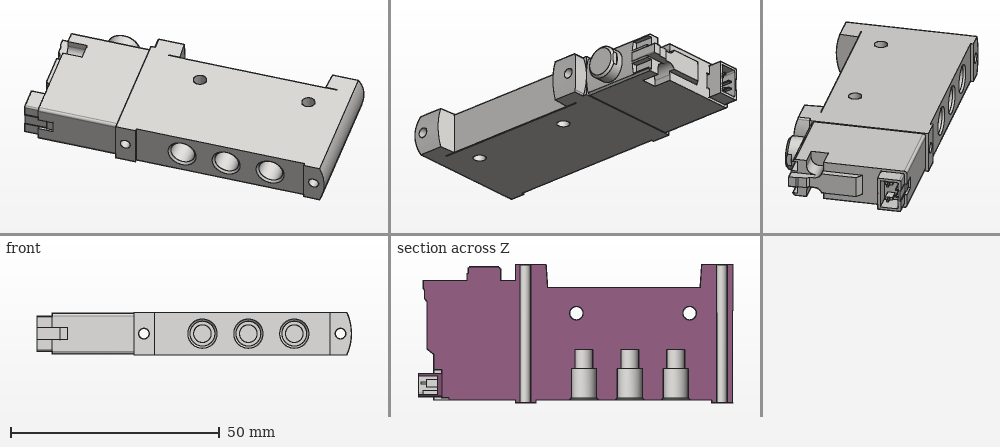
import cadquery as cq

LENGTH = 75.3
WIDTH = 33.1
THICKNESS = 10.25
HALF_THICKNESS = THICKNESS / 2

PLATE_WIDTH = 5.0
PLATE1_X = 23.2
PLATE1_END = PLATE1_X + PLATE_WIDTH
PLATE2_X = 70.2
BULGE = 1.1
BEVEL_LENGTH = 0.3
BEVEL_DEPTH = 0.45
CROWN = 0.9
SIDE_Y = 0.7
BLOCK_TOP_Y = 27.6
BLOCK_CHAMFER = 0.15
TAB_ROOT = 2.8
TAB_TIP = 2.4

MOUNT_DIA = 3.2
MOUNT_XS = (37.8, 64.9)
MOUNT_Y = 21.45
TIE_DIA = 2.5
TIE_XS = (25.6, 72.7)
PORT_XS = (39.6, 50.6, 61.6)
PORT_DIA = 5.95
PORT_DEPTH = 7.5
PORT_CHAMFER = 0.5
PORT_BORE_DIA = 4.2
PORT_BORE_DEPTH = 12.05

CAP_X = 3.6
COVER_X = 8.4
PILOT_HALF = 4.9
PILOT_EDGE_Y = 28.6
PILOT_TOP_Y = 29.3
PILOT_FILLET = 0.7
PILOT_CHAMFER = 0.45
NOTCH_DIA = 4.2
NOTCH_Y = 23.3
PRONG_Y = 27.6
PRONG_Z_LOW = 1.7
PRONG_Z_HIGH = 4.2

LEVER_X = 2.0
NECK_X = 1.4
TIP_X = 1.1
LEVER_TOP_Y = PILOT_TOP_Y
TIP_END_Y = 27.4
NECK_START_Y = 26.95
NECK_END_Y = 24.9
BLADE_START_Y = 24.25
LEVER_CHAMFER_Y = 12.9
LEVER_BOTTOM_Y = 11.6
LEVER_HALF = 2.55
NECK_HALF = 1.3
TIP_CORNER = 0.2
NOTCH_Z = NECK_HALF + NOTCH_DIA / 2

BUTTON_DIA = 8.1
BUTTON_X = 15.7
BUTTON_TOP_Y = 32.6
BUTTON_CHAMFER = 0.6
BUTTON_NOTCH_WIDTH = 3.9
BUTTON_NOTCH_Y = 31.0
BUTTON_NOTCH_DEPTH = 0.3

PLUG_END_X = 5.6
PLUG_Y_LOW = 1.35
PLUG_Y_HIGH = 7.1
PLUG_HALF = 4.2
PLUG_WALL = 0.7
PLUG_CORNER = 0.4
CAVITY_END_X = 4.5
GROOVE_HALF = 1.4
GROOVE_Y = 1.6
WINDOW_END_X = 7.3
WINDOW_Y = 1.2
KEYWAY_Y = 7.9
KEYWAY_HALF = 1.95
PIN_Y = 4.75
PIN_Z = 2.0
PIN_WIDTH = 1.8
PIN_HEIGHT = 0.7
PIN_TIP_SIZE = 0.45
PIN_TIP_X = 0.6
PIN_SHOULDER_X = 1.95
RIB_Z = 0.9
RIB_HEIGHT = 0.9
RIB_THICKNESS = 0.3
RIB_X = 1.1


def box(x0, x1, y0, y1, z0, z1):
    """Box given by its limits on each axis."""
    return cq.Workplane("XY").box(x1 - x0, y1 - y0, z1 - z0, centered=False).translate((x0, y0, z0))


def centred_box(x0, x1, y0, y1, half_z):
    """Box symmetric about z = 0."""
    return box(x0, x1, y0, y1, -half_z, half_z)


def along_y(x, z, diameter, y0, y1):
    """Cylinder with its axis along Y."""
    return cq.Workplane("XZ", origin=(x, y0, z)).circle(diameter / 2).extrude(y0 - y1)


def bulged_bar(flat_x, flat_end_x, crown_x, half_z):
    """Bar along Y with one straight end and one arc-shaped end."""
    return (
        cq.Workplane("XZ")
        .moveTo(flat_x, -half_z)
        .lineTo(flat_end_x, -half_z)
        .threePointArc((crown_x, 0), (flat_end_x, half_z))
        .lineTo(flat_x, half_z)
        .close()
        .extrude(-WIDTH)
    )


def tab(root_x, direction):
    """Tapered tab at the +Y end of a plate, pointing along +X or -X."""
    return (
        cq.Workplane("XY", origin=(0, 0, -HALF_THICKNESS))
        .moveTo(root_x, BLOCK_TOP_Y)
        .lineTo(root_x + direction * TAB_ROOT, BLOCK_TOP_Y)
        .lineTo(root_x + direction * TAB_TIP, WIDTH)
        .lineTo(root_x, WIDTH)
        .close()
        .extrude(THICKNESS)
    )


def crowned_section(x0, x1, y0, edge_y, top_y, half_z):
    """Bar along X with a flat -Y side and an arc-shaped +Y side."""
    return (
        cq.Workplane("YZ", origin=(x0, 0, 0))
        .moveTo(y0, -half_z)
        .lineTo(edge_y, -half_z)
        .threePointArc((top_y, 0), (edge_y, half_z))
        .lineTo(y0, half_z)
        .close()
        .extrude(x1 - x0)
    )


def plate_one():
    """Plate and tab on the pilot side; its end is rounded where it rises above the pilot."""
    lower = centred_box(PLATE1_X, PLATE1_END, 0, LEVER_TOP_Y, HALF_THICKNESS)
    shoulder_x = PLATE1_X + BULGE
    bevel_x = shoulder_x - BEVEL_LENGTH
    bevel_z = HALF_THICKNESS - BEVEL_DEPTH
    bevelled = (
        cq.Workplane("XZ")
        .moveTo(PLATE1_END, -HALF_THICKNESS)
        .lineTo(shoulder_x, -HALF_THICKNESS)
        .lineTo(bevel_x, -bevel_z)
        .lineTo(bevel_x, bevel_z)
        .lineTo(shoulder_x, HALF_THICKNESS)
        .lineTo(PLATE1_END, HALF_THICKNESS)
        .close()
        .extrude(-WIDTH)
    )
    bulge = bulged_bar(PLATE1_END, bevel_x, PLATE1_X, bevel_z)
    return lower.union(bevelled).union(bulge).union(tab(PLATE1_END, 1))


def plate_two():
    """Plate and tab closing the far end, with a rounded outer end."""
    return bulged_bar(PLATE2_X, LENGTH - BULGE, LENGTH, HALF_THICKNESS).union(tab(PLATE2_X, -1))


def crowned_plates():
    """Both plates trimmed to the rounded +Y edge."""
    envelope = crowned_section(0, LENGTH, 0, WIDTH - CROWN, WIDTH, HALF_THICKNESS)
    return plate_one().union(plate_two()).intersect(envelope)


def port(x):
    """Chamfered port with a narrower bore at its bottom."""
    rim = PORT_DIA / 2 + PORT_CHAMFER
    half_section = (
        cq.Workplane("XY")
        .moveTo(0, 0)
        .lineTo(rim, 0)
        .lineTo(PORT_DIA / 2, PORT_CHAMFER)
        .lineTo(PORT_DIA / 2, PORT_DEPTH)
        .lineTo(PORT_BORE_DIA / 2, PORT_DEPTH)
        .lineTo(PORT_BORE_DIA / 2, PORT_BORE_DEPTH)
        .lineTo(0, PORT_BORE_DEPTH)
        .close()
    )
    return half_section.revolve(360, (0, 0, 0), (0, 1, 0)).translate((x, SIDE_Y, 0))


def valve_block():
    """Block and plates with the mounting holes, tie holes and ports."""
    block = centred_box(PLATE1_END, PLATE2_X, SIDE_Y, BLOCK_TOP_Y, HALF_THICKNESS)
    block = block.edges("|X and >Y").chamfer(BLOCK_CHAMFER).union(crowned_plates())
    for x in MOUNT_XS:
        start = cq.Workplane("XY", origin=(x, MOUNT_Y, -HALF_THICKNESS))
        block = block.cut(start.circle(MOUNT_DIA / 2).extrude(THICKNESS))
    for x in TIE_XS:
        block = block.cut(along_y(x, 0, TIE_DIA, 0, WIDTH))
    for x in PORT_XS:
        block = block.cut(port(x))
    return block


def pilot_shell():
    """Cover and end cap: one bar with a crowned +Y side and softened long edges."""
    bar = crowned_section(CAP_X, PLATE1_X, SIDE_Y, PILOT_EDGE_Y, PILOT_TOP_Y, PILOT_HALF)
    bar = bar.edges("|X and <Y").fillet(PILOT_FILLET)
    return bar.edges("|X").edges(">Y").chamfer(PILOT_CHAMFER)


def lever():
    """Stepped lever standing on the end cap, narrow at its +Y end."""
    profile = (
        cq.Workplane("XY", origin=(0, 0, -LEVER_HALF))
        .moveTo(COVER_X, LEVER_BOTTOM_Y)
        .lineTo(CAP_X, LEVER_BOTTOM_Y)
        .lineTo(LEVER_X, LEVER_CHAMFER_Y)
        .lineTo(LEVER_X, BLADE_START_Y)
        .lineTo(NECK_X, NECK_END_Y)
        .lineTo(NECK_X, NECK_START_Y)
        .lineTo(TIP_X, TIP_END_Y)
        .lineTo(TIP_X, LEVER_TOP_Y)
        .lineTo(COVER_X, LEVER_TOP_Y)
        .close()
        .extrude(2 * LEVER_HALF)
    )
    blade = centred_box(0, COVER_X, LEVER_BOTTOM_Y, NOTCH_Y, LEVER_HALF)
    neck = centred_box(0, COVER_X, NOTCH_Y, LEVER_TOP_Y, NECK_HALF).edges("|X and >Y").fillet(TIP_CORNER)
    return profile.intersect(blade.union(neck))


def notches():
    """Round-bottomed notches through the cap, one on each side of the lever neck."""
    radius = NOTCH_DIA / 2
    cutter = cq.Workplane("YZ").center(NOTCH_Y, NOTCH_Z).circle(radius).extrude(COVER_X)
    cutter = cutter.union(box(0, COVER_X, NOTCH_Y - radius, NOTCH_Y + radius, NOTCH_Z, HALF_THICKNESS))
    return cutter.union(cutter.mirror("XY"))


def prong_undercuts():
    """Openings in the +Y side of the cap between lever and cap edges."""
    cutter = box(CAP_X, COVER_X, PRONG_Y, LEVER_TOP_Y, PRONG_Z_LOW, PRONG_Z_HIGH)
    return cutter.union(cutter.mirror("XY"))


def button():
    """Round override button with a shallow pointer notch in its -X side."""
    knob = along_y(BUTTON_X, 0, BUTTON_DIA, BLOCK_TOP_Y, BUTTON_TOP_Y).faces(">Y").chamfer(BUTTON_CHAMFER)
    rim_x = BUTTON_X - BUTTON_DIA / 2
    notch_end_x = rim_x + BUTTON_NOTCH_DEPTH
    notch = centred_box(rim_x, notch_end_x, BUTTON_NOTCH_Y, BUTTON_TOP_Y, BUTTON_NOTCH_WIDTH / 2)
    return knob.cut(notch)


def plug_blank():
    """Outside of the connector, rounded on its -Y side."""
    blank = centred_box(0, PLUG_END_X, PLUG_Y_LOW, PLUG_Y_HIGH, PLUG_HALF)
    return blank.edges("|X and <Y").fillet(PLUG_CORNER)


def plug_recesses():
    """Seat, latch window and keyway for the connector in the end cap."""
    seat = plug_blank().intersect(centred_box(CAP_X, PLUG_END_X, 0, WIDTH, HALF_THICKNESS))
    latch_slot = centred_box(CAP_X, PLUG_END_X, SIDE_Y, GROOVE_Y, GROOVE_HALF)
    window = centred_box(PLUG_END_X, WINDOW_END_X, SIDE_Y, WINDOW_Y, GROOVE_HALF)
    keyway = centred_box(CAP_X, PLUG_END_X, PLUG_Y_HIGH, KEYWAY_Y, KEYWAY_HALF)
    return seat.union(latch_slot).union(window).union(keyway)


def make_valve():
    """Valve with its pilot, lever and button."""
    pilot = pilot_shell().union(lever()).cut(notches()).cut(prong_undercuts()).cut(plug_recesses())
    return valve_block().union(pilot).union(button())


def contact_pin(z):
    """Contact with a flat base and a slim square tip."""
    half_width = PIN_WIDTH / 2
    base = centred_box(PIN_SHOULDER_X, CAVITY_END_X, PIN_Y - half_width, PIN_Y + half_width, PIN_HEIGHT / 2)
    half_tip = PIN_TIP_SIZE / 2
    tip = centred_box(PIN_TIP_X, PIN_SHOULDER_X, PIN_Y - half_tip, PIN_Y + half_tip, half_tip)
    return base.union(tip).translate((0, 0, z))


def make_connector():
    """Open connector shroud with two contacts, two guide ribs and a latch groove."""
    rib_y = PLUG_Y_LOW + PLUG_WALL
    cavity = centred_box(0, CAVITY_END_X, rib_y, PLUG_Y_HIGH - PLUG_WALL, PLUG_HALF - PLUG_WALL)
    cavity = cavity.edges("|X and <Y").fillet(PLUG_CORNER)
    groove = centred_box(0, PLUG_END_X, PLUG_Y_LOW, GROOVE_Y, GROOVE_HALF)
    shroud = plug_blank().cut(cavity).cut(groove)
    for side in (-1, 1):
        rib = centred_box(RIB_X, CAVITY_END_X, rib_y, rib_y + RIB_HEIGHT, RIB_THICKNESS / 2)
        shroud = shroud.union(contact_pin(side * PIN_Z)).union(rib.translate((0, 0, side * RIB_Z)))
    return shroud


valve = make_valve()
connector = make_connector()
result = cq.Compound.makeCompound([valve.val(), connector.val()])